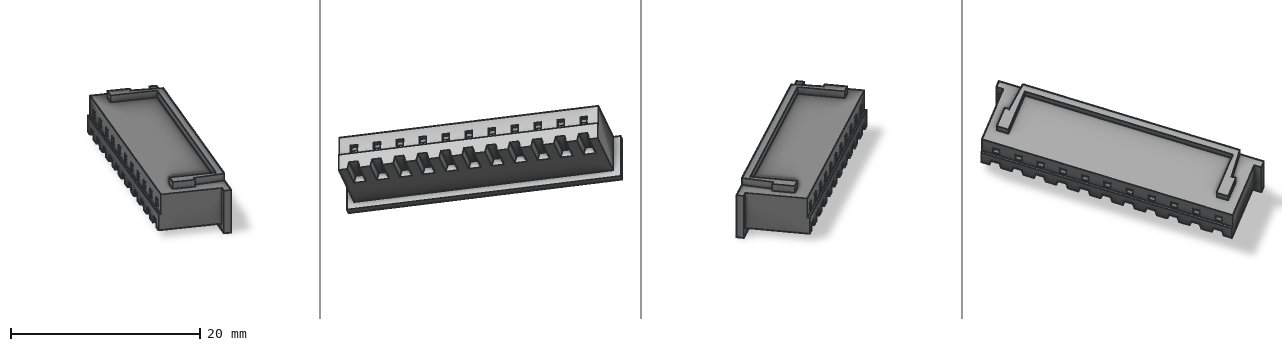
import cadquery as cq

contact_count = 11
contact_pitch = 2.5

body_width = 28.2
body_depth = 7.75
flange_overhang = 0.8
flange_width = body_width + 2 * flange_overhang
flange_thickness = 0.8
flange_height = 4.9
body_bottom = 0.8
body_top = flange_height

step_depth = 0.25
step_height = 2.65
upper_front = -(body_depth - step_depth)

rail_height = 0.8
rail_thickness = 0.8
rail_inner_half = 11.7
rail_rear_half = 12.2
rail_neck_half = 12.5
hook_outer_half = 13.0
hook_start = -3.45
hook_end = -5.9

hole_size = 0.75
hole_above_step = 0.375
hole_bottom = step_height + hole_above_step
hole_depth = 0.5

groove_mouth_width = 1.32
groove_roof_width = 0.92
groove_height = 0.8
groove_length = 3.0


def centered_box(width, y_front, y_rear, z_low, z_high):
    """Box centered on X = 0 between the given Y and Z limits."""
    block = cq.Workplane("XY").box(width, y_rear - y_front, z_high - z_low, centered=(True, False, False))
    return block.translate((0, y_front, z_low))


def make_housing():
    flange = centered_box(flange_width, -flange_thickness, 0, 0, flange_height)
    body = centered_box(body_width, -body_depth, 0, body_bottom, body_top)
    front_step = centered_box(body_width, -body_depth, upper_front, step_height, body_top)
    return flange.union(body).cut(front_step)


def make_rail():
    right_side = [
        (rail_rear_half, 0),
        (rail_neck_half, hook_start),
        (hook_outer_half, hook_start),
        (hook_outer_half, hook_end),
        (rail_inner_half, hook_end),
        (rail_inner_half, -rail_thickness),
    ]
    left_side = [(-x, y) for x, y in reversed(right_side)]
    outline = cq.Workplane("XY").workplane(offset=body_top).polyline(right_side + left_side).close()
    return outline.extrude(rail_height)


def make_contact_hole():
    return centered_box(hole_size, upper_front, upper_front + hole_depth, hole_bottom, hole_bottom + hole_size)


def make_groove():
    groove_roof = body_bottom + groove_height
    section = [
        (-groove_mouth_width / 2, body_bottom),
        (groove_mouth_width / 2, body_bottom),
        (groove_roof_width / 2, groove_roof),
        (-groove_roof_width / 2, groove_roof),
    ]
    front_plane = cq.Workplane("XZ", origin=(0, -body_depth, 0))
    return front_plane.polyline(section).close().extrude(-groove_length)


result = make_housing().union(make_rail())

contact_opening = make_contact_hole().union(make_groove())
for index in range(contact_count):
    contact_x = (index - (contact_count - 1) / 2) * contact_pitch
    result = result.cut(contact_opening.translate((contact_x, 0, 0)))